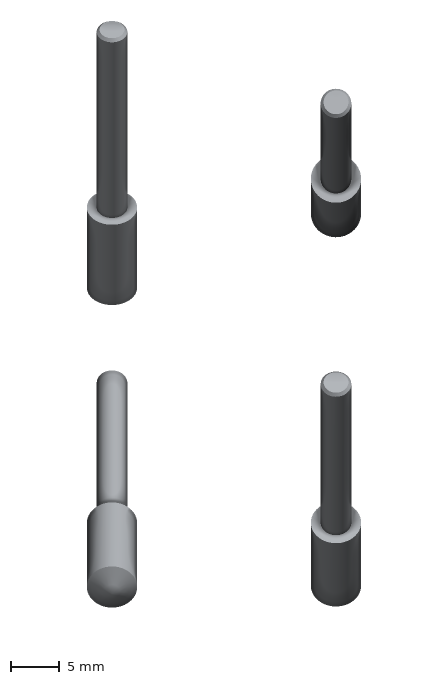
import cadquery as cq
import math

total_length = 38.1
head_diameter = 5.2
head_length = 12.7
point_slope = 25.0
shank_diameter = 3.15
chamfer_size = 0.3

head_radius = head_diameter / 2
point_height = head_radius * math.tan(math.radians(point_slope))


def make_head():
    """Cylindrical cutting head with a conical point at the origin."""
    half_profile = (
        cq.Workplane("XZ")
        .moveTo(0, 0)
        .lineTo(head_radius, point_height)
        .lineTo(head_radius, head_length)
        .lineTo(0, head_length)
        .close()
    )
    return half_profile.revolve(360, (0, 0, 0), (0, 1, 0))


def make_shank():
    """Round shank seated on the head's flat shoulder, chamfered at its free end."""
    shank_radius = shank_diameter / 2
    half_profile = (
        cq.Workplane("XZ")
        .moveTo(0, head_length)
        .lineTo(shank_radius, head_length)
        .lineTo(shank_radius, total_length - chamfer_size)
        .lineTo(shank_radius - chamfer_size, total_length)
        .lineTo(0, total_length)
        .close()
    )
    return half_profile.revolve(360, (0, 0, 0), (0, 1, 0))


head = make_head()
shank = make_shank()

result = cq.Compound.makeCompound([head.val(), shank.val()])